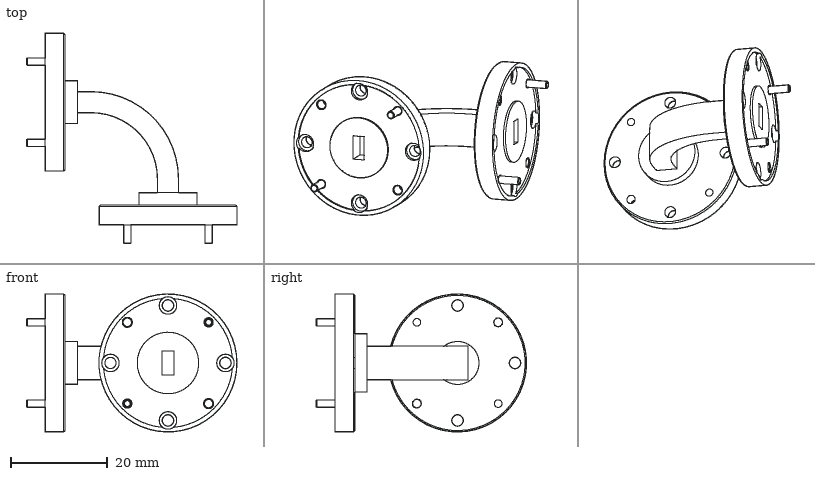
import cadquery as cq
import math

OVERALL = 43.55
FLANGE_DIA = 28.58
PIN_PROJECTION = 3.88
AXIS_TO_PIN_TIP = OVERALL - FLANGE_DIA / 2
AXIS_TO_FACE = AXIS_TO_PIN_TIP - PIN_PROJECTION

FLANGE_THICKNESS = 4.15
BACK_CHAMFER = 0.3
HUB_LENGTH = 2.55
FRONT_HUB_DIA = 12.1
LEFT_HUB_DIA = 8.9
AXIS_TO_FLANGE_BACK = AXIS_TO_FACE - FLANGE_THICKNESS
AXIS_TO_HUB_END = AXIS_TO_FLANGE_BACK - HUB_LENGTH

RECESS_OUTER_DIA = 26.75
RECESS_INNER_DIA = 12.7
RECESS_DEPTH = 0.5

HOLE_CIRCLE_RADIUS = 11.9

SCREW_COUNT = 4
SCREW_HOLE_DIA = 2.3
COUNTERBORE_DIA = 3.6
COUNTERBORE_DEPTH = 1.3

PIN_OFFSET = HOLE_CIRCLE_RADIUS / math.sqrt(2)
PIN_DIA = 1.55
PIN_CHAMFER = 0.17
SOCKET_DIA = 1.75
MOUTH_CHAMFER = 0.17

STRAIGHT_LENGTH = 2.8
BEND_RADIUS = AXIS_TO_HUB_END - STRAIGHT_LENGTH
TUBE_WIDTH = 4.4
TUBE_HEIGHT = 6.95
PASSAGE_WIDTH = 2.45
PASSAGE_HEIGHT = 4.92

LEFT_TURN = -90
PIN_PLACES = [(PIN_OFFSET, PIN_OFFSET), (-PIN_OFFSET, -PIN_OFFSET)]
SOCKET_PLACES = [(-PIN_OFFSET, PIN_OFFSET), (PIN_OFFSET, -PIN_OFFSET)]


def facing_plane(distance):
    """Plane across the front flange axis, at this distance from the origin, facing -Y."""
    return cq.Workplane("XZ", origin=(0, -distance, 0))


def turn_left(shape):
    return shape.rotate((0, 0, 0), (0, 0, 1), LEFT_TURN)


def screw_holes():
    holes = facing_plane(AXIS_TO_FACE).polarArray(HOLE_CIRCLE_RADIUS, 0, 360, SCREW_COUNT)
    holes = holes.circle(SCREW_HOLE_DIA / 2).extrude(-FLANGE_THICKNESS)
    bores = facing_plane(AXIS_TO_FACE).polarArray(HOLE_CIRCLE_RADIUS, 0, 360, SCREW_COUNT)
    return holes.union(bores.circle(COUNTERBORE_DIA / 2).extrude(-COUNTERBORE_DEPTH))


def ring_recess():
    ring = facing_plane(AXIS_TO_FACE).circle(RECESS_OUTER_DIA / 2).circle(RECESS_INNER_DIA / 2)
    return ring.extrude(-RECESS_DEPTH)


def chamfered_holes(places, dia):
    """Through holes with a chamfered mouth at the floor of the ring recess."""
    floor = facing_plane(AXIS_TO_FACE - RECESS_DEPTH).pushPoints(places)
    holes = floor.circle(dia / 2).extrude(RECESS_DEPTH - FLANGE_THICKNESS)
    inward = cq.Vector(0, 0, -1)
    mouth = cq.Solid.makeCone(dia / 2 + MOUTH_CHAMFER, dia / 2, MOUTH_CHAMFER, dir=inward)
    return holes.union(floor.eachpoint(mouth, useLocalCoordinates=True))


def make_flange(hub_dia):
    """Flange on the front axis with its hub, without the passage."""
    disc = facing_plane(AXIS_TO_FLANGE_BACK).circle(FLANGE_DIA / 2).extrude(FLANGE_THICKNESS)
    disc = disc.faces(">Y").chamfer(BACK_CHAMFER)
    hub = facing_plane(AXIS_TO_HUB_END).circle(hub_dia / 2).extrude(HUB_LENGTH)
    flange = disc.union(hub)
    flange = flange.cut(ring_recess())
    flange = flange.cut(screw_holes())
    flange = flange.cut(chamfered_holes(PIN_PLACES, PIN_DIA))
    return flange.cut(chamfered_holes(SOCKET_PLACES, SOCKET_DIA))


def elbow_bar(width, height, front_end):
    """Rectangular bar round the bend, from this distance along the front axis to the left hub."""
    path = (
        cq.Workplane("XY")
        .moveTo(0, -front_end)
        .lineTo(0, -BEND_RADIUS)
        .radiusArc((-BEND_RADIUS, 0), -BEND_RADIUS)
        .lineTo(-AXIS_TO_HUB_END, 0)
    )
    return facing_plane(front_end).rect(width, height).sweep(path)


def left_pocket():
    """Blind rectangular opening of the left flange, closed off by the left hub."""
    opening = facing_plane(AXIS_TO_FACE).rect(PASSAGE_WIDTH, PASSAGE_HEIGHT)
    return turn_left(opening.extrude(-FLANGE_THICKNESS))


def make_housing():
    """Elbow tube joined to a flange at each end, with the passage open at the front flange."""
    tube = elbow_bar(TUBE_WIDTH, TUBE_HEIGHT, AXIS_TO_HUB_END)
    body = tube.union(make_flange(FRONT_HUB_DIA)).union(turn_left(make_flange(LEFT_HUB_DIA)))
    body = body.cut(elbow_bar(PASSAGE_WIDTH, PASSAGE_HEIGHT, AXIS_TO_FACE))
    return body.cut(left_pocket())


def make_pin(place):
    """Alignment pin from the back of the front flange to its chamfered tip."""
    across, up = place
    pin = facing_plane(AXIS_TO_FLANGE_BACK).center(across, up).circle(PIN_DIA / 2)
    pin = pin.extrude(FLANGE_THICKNESS + PIN_PROJECTION)
    return pin.faces("<Y").chamfer(PIN_CHAMFER)


housing = make_housing()

pins = []
for pin_place in PIN_PLACES:
    front_pin = make_pin(pin_place)
    pins.append(front_pin.val())
    pins.append(turn_left(front_pin).val())

result = cq.Compound.makeCompound([housing.solids().val(), *pins])